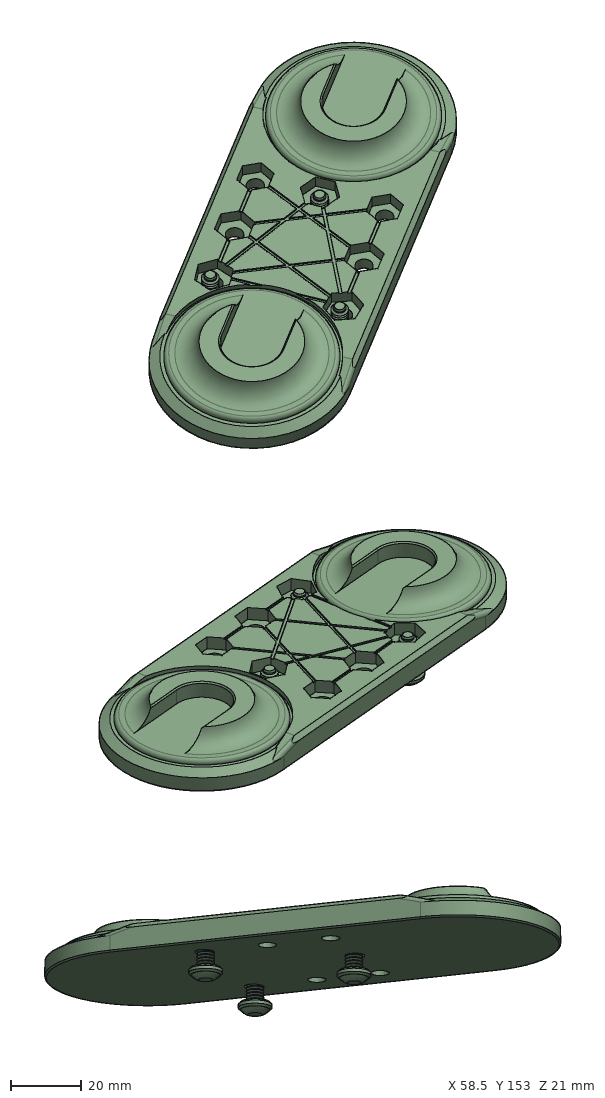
import cadquery as cq
import math

length = 153.0
width = 58.5
plate_height = 8.0
end_radius = width / 2
end_y = (length - width) / 2
rim_edge_z = 4.7
ledge_z = 6.5
ledge_radius = 26.2
ramp_start_y = 40.7
ramp_run_per_drop = 3.8
side_chamfer = 1.4
ramp_fillet = side_chamfer
bottom_chamfer = 0.5

recess_diameter = 51.5
disc_diameter = 50.0
disc_edge_fillet = 1.4
dome_foot_radius = 21.9
dome_top_radius = 15.0
dome_top_z = 13.0
slot_radius = 9.0
slot_lip = 0.5

pitch = 19.3
top_row_y = 16.0
middle_row_y = top_row_y - pitch
bottom_row_y = middle_row_y - pitch
hole_diameter = 5.2
pocket_flats = 10.1
small_pocket_flats = 9.3
pocket_depth = 4.0
upright_turn = 30
bottom_pocket_turn = 7.5
groove_width = 0.9
groove_depth = 0.5

screw_places = [(-20.3, bottom_row_y), (18.2, bottom_row_y), (0, 15.6)]
thread_diameter = 5.0
thread_root_diameter = 3.7
thread_pitch = 0.9
screw_tip_z = 7.6
tip_diameter = 3.0
tip_height = 0.6
head_diameter = 9.6
head_bottom_z = -8.0
head_top_z = -4.5
flange_height = 2.1
flange_chamfer = 0.6
crown_diameter = 8.3
crown_flat_diameter = 4.0
crown_sag_point = (3.2, 0.54)

top_left = (-pitch, top_row_y)
top_right = (pitch, top_row_y)
top_centre = (0, top_row_y)
middle_left = (-pitch, middle_row_y)
middle_right = (pitch, middle_row_y)
bottom_left = (-pitch, bottom_row_y)
bottom_right = (pitch, bottom_row_y)

pockets = [
    (top_left, small_pocket_flats, upright_turn),
    (top_right, small_pocket_flats, upright_turn),
    (top_centre, pocket_flats, 0),
    (middle_left, pocket_flats, upright_turn),
    (middle_right, pocket_flats, upright_turn),
    (bottom_left, pocket_flats, upright_turn + bottom_pocket_turn),
    (bottom_right, pocket_flats, upright_turn - bottom_pocket_turn),
]

grooves = [
    (top_left, middle_left),
    (top_right, middle_right),
    (middle_left, bottom_left),
    (middle_right, bottom_right),
    (top_left, middle_right),
    (top_right, middle_left),
    (middle_left, bottom_right),
    (middle_right, bottom_left),
    (top_centre, bottom_left),
    (top_centre, bottom_right),
    (bottom_left, bottom_right),
]


def cylinder(diameter, bottom, top, place):
    """An upright cylinder between two heights."""
    return cq.Workplane("XY", origin=(*place, bottom)).circle(diameter / 2).extrude(top - bottom)


def make_base():
    """The low stadium whose top slopes from the outer edge up to a flat ledge."""
    base = cq.Workplane("XY").slot2D(length, width, 90).extrude(ledge_z)
    base = base.faces(">Z").edges().chamfer(ledge_z - rim_edge_z, end_radius - ledge_radius)
    return base.faces("<Z").edges().chamfer(bottom_chamfer)


def make_middle():
    """The full-height stretch, ramped down at both ends, with chamfered and filleted top sides."""
    ramp_end_y = ramp_start_y + ramp_run_per_drop * (plate_height - rim_edge_z)
    profile = [
        (-ramp_end_y, 0),
        (ramp_end_y, 0),
        (ramp_end_y, rim_edge_z),
        (ramp_start_y, plate_height),
        (-ramp_start_y, plate_height),
        (-ramp_end_y, rim_edge_z),
    ]
    block = cq.Workplane("YZ").polyline(profile).close().extrude(width / 2, both=True)
    block = block.faces("<X or >X").edges(">Z").chamfer(side_chamfer)
    block = block.faces("<X or >X").edges("not (|Z or |Y)").fillet(ramp_fillet)
    stadium = cq.Workplane("XY").slot2D(length, width, 90).extrude(plate_height)
    stadium = stadium.faces("<Z").edges().chamfer(bottom_chamfer)
    return block.intersect(stadium)


def make_pocket(centre, flats, turn):
    """A hexagonal nut pocket sunk from the plate top."""
    across_corners = flats / math.cos(math.pi / 6)
    hexagon = cq.Workplane("XY").polygon(6, across_corners).extrude(pocket_depth)
    return hexagon.rotate((0, 0, 0), (0, 0, 1), turn).translate((*centre, plate_height - pocket_depth))


def make_groove(start, end):
    """A straight shallow groove between two pocket centres."""
    run_x = end[0] - start[0]
    run_y = end[1] - start[1]
    middle = ((start[0] + end[0]) / 2, (start[1] + end[1]) / 2, plate_height - groove_depth / 2)
    bar = cq.Workplane("XY").box(math.hypot(run_x, run_y), groove_width, groove_depth)
    return bar.rotate((0, 0, 0), (0, 0, 1), math.degrees(math.atan2(run_y, run_x))).translate(middle)


def make_plate():
    """The whole base plate with its recesses, grooves, nut pockets and screw holes."""
    plate = make_base().union(make_middle())
    for centre_y in (-end_y, end_y):
        plate = plate.cut(cylinder(recess_diameter, ledge_z, plate_height, (0, centre_y)))
    for start, end in grooves:
        plate = plate.cut(make_groove(start, end))
    for centre, flats, turn in pockets:
        plate = plate.cut(make_pocket(centre, flats, turn))
        plate = plate.cut(cylinder(hole_diameter, 0, plate_height, centre))
    for place in screw_places:
        plate = plate.cut(cylinder(thread_diameter, 0, plate_height, place))
    return plate


def make_disc(centre_y):
    """A disc with a concave dome and a U-shaped slot that opens toward +Y."""
    rise = dome_top_z - plate_height
    run = dome_foot_radius - dome_top_radius
    sweep_radius = (run**2 + rise**2) / (2 * rise)
    half_angle = math.asin(run / sweep_radius) / 2
    sweep_middle = (
        dome_foot_radius - sweep_radius * math.sin(half_angle),
        plate_height + sweep_radius * (1 - math.cos(half_angle)),
    )
    disc_radius = disc_diameter / 2
    fillet_lag = disc_edge_fillet * (1 - math.sqrt(0.5))
    body = (
        cq.Workplane("XZ")
        .moveTo(0, ledge_z)
        .lineTo(disc_radius, ledge_z)
        .lineTo(disc_radius, plate_height - disc_edge_fillet)
        .threePointArc(
            (disc_radius - fillet_lag, plate_height - fillet_lag),
            (disc_radius - disc_edge_fillet, plate_height),
        )
        .lineTo(dome_foot_radius, plate_height)
        .threePointArc(sweep_middle, (dome_top_radius, dome_top_z))
        .lineTo(0, dome_top_z)
        .close()
        .revolve(360, (0, 0), (0, 1))
    )
    return body.cut(make_slot()).translate((0, centre_y, 0))


def slot_outline(radius, height):
    """The slot outline at one height: round at its closed end, open beyond the disc edge."""
    return (
        cq.Workplane("XY", origin=(0, 0, height))
        .moveTo(-radius, disc_diameter / 2)
        .lineTo(-radius, 0)
        .threePointArc((0, -radius), (radius, 0))
        .lineTo(radius, disc_diameter / 2)
        .close()
    )


def make_slot():
    """The slot volume: straight walls with a bevelled lip at the dome top."""
    lip_z = dome_top_z - slot_lip
    walls = slot_outline(slot_radius, plate_height).extrude(dome_top_z - plate_height)
    lip_wires = [
        slot_outline(slot_radius, lip_z).val(),
        slot_outline(slot_radius + slot_lip, dome_top_z).val(),
    ]
    lip = cq.Solid.makeLoft(lip_wires, True)
    return walls.union(cq.Workplane("XY").add(lip))


def make_screw(place):
    """A threaded screw, head down, with the thread as a row of rings."""
    head_radius = head_diameter / 2
    flange_bottom_z = head_top_z - flange_height
    thread_top_z = screw_tip_z - tip_height
    thread_count = int((thread_top_z - head_top_z) / thread_pitch)
    sag_radius, sag_rise = crown_sag_point
    profile = (
        cq.Workplane("XZ")
        .moveTo(0, head_bottom_z)
        .lineTo(crown_flat_diameter / 2, head_bottom_z)
        .threePointArc((sag_radius, head_bottom_z + sag_rise), (crown_diameter / 2, flange_bottom_z))
        .lineTo(head_radius - flange_chamfer, flange_bottom_z)
        .lineTo(head_radius, flange_bottom_z + flange_chamfer)
        .lineTo(head_radius, head_top_z - flange_chamfer)
        .lineTo(head_radius - flange_chamfer, head_top_z)
        .lineTo(thread_root_diameter / 2, head_top_z)
    )
    for ring in range(thread_count):
        ring_z = head_top_z + ring * thread_pitch
        profile = profile.lineTo(thread_diameter / 2, ring_z + thread_pitch / 2)
        profile = profile.lineTo(thread_root_diameter / 2, ring_z + thread_pitch)
    profile = (
        profile.lineTo(thread_root_diameter / 2, thread_top_z)
        .lineTo(tip_diameter / 2, screw_tip_z)
        .lineTo(0, screw_tip_z)
        .close()
    )
    return profile.revolve(360, (0, 0), (0, 1)).translate((*place, 0))


plate = make_plate()
discs = [make_disc(centre_y) for centre_y in (-end_y, end_y)]
screws = [make_screw(place) for place in screw_places]

result = cq.Compound.makeCompound(
    [plate.val(), *[disc.val() for disc in discs], *[screw.val() for screw in screws]]
)